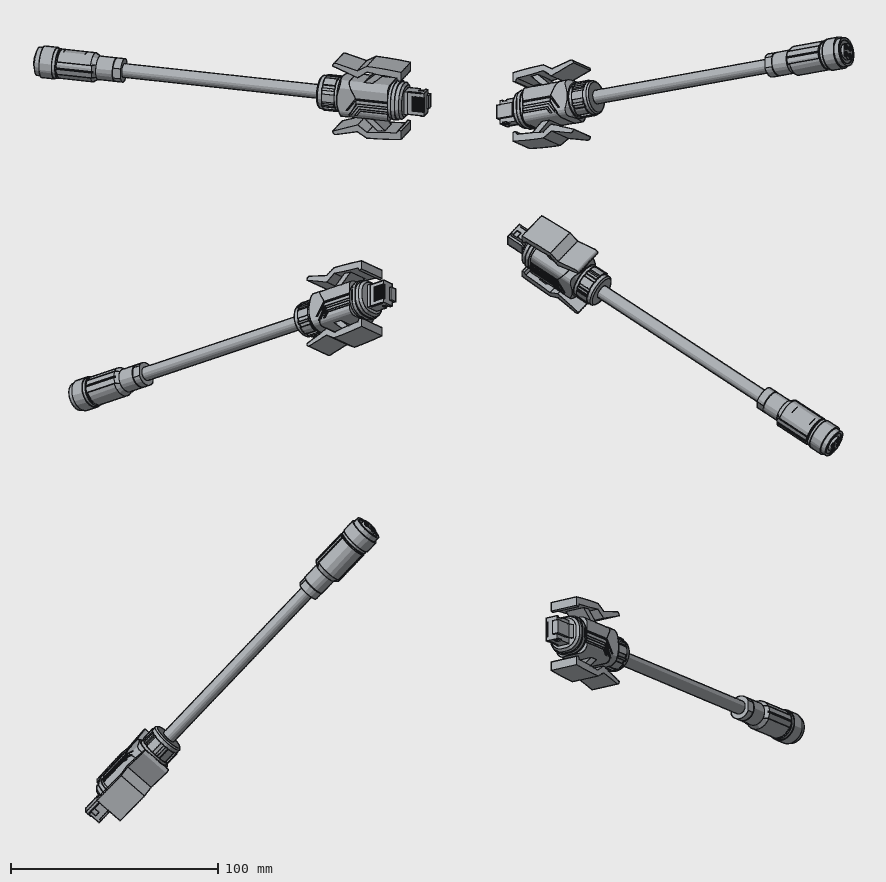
import cadquery as cq
import math


INSERT_RADIUS = 4.0
NUT_FACE_X = 1.2
NUT_BAND_X = 3.8
NUT_GROOVE_X = 10.1
NUT_END_X = 11.7
GRIP_X = 12.5
GRIP_TAPER_X = 29.5
NECK_X = 32.0
NECK_RING_X = 40.3
NECK_END_X = 44.5
NUT_NOSE_RADIUS = 7.0
NUT_RADIUS = 7.7
NUT_GROOVE_RADIUS = 7.3
NUT_FLAT_Y = 7.5
WAIST_RADIUS = 6.5
GRIP_RADIUS = 7.1
NECK_RADIUS = 5.8
NECK_GROOVE_WIDTH = 0.2
FACE_RECESS_RADIUS = 5.8
FACE_RECESS_DEPTH = 0.4
PIN_HOLE_RADIUS = 0.5
PIN_ENTRY_RADIUS = 1.2
PIN_ENTRY_DEPTH = 0.5
PIN_HOLE_OFFSET = 1.8
PIN_HOLE_DEPTH = 4.0
GRIP_RIB_RADIUS = 7.5
GRIP_RIB_TAPER_X = 30.4
GRIP_RIB_HALF_WIDTH = 3.2
GRIP_RIB_GROOVE_WIDTH = 0.5
GRIP_RIB_GROOVE_DEPTH = 0.5
LABEL_X = 14.5
LABEL_LENGTH = 11.0
LABEL_WIDTH = 4.2
NECK_FLAT_Y = 5.2

CABLE_RADIUS = 3.4
GLAND_X = 144.3
GLAND_CHAMFER = 0.8
GLAND_RIBS_X = 147.0
GLAND_RIBS_END_X = 153.5
GLAND_RADIUS = 8.1
GLAND_RIB_RADIUS = 8.7
GLAND_SLOT_FLOOR = 7.5
GLAND_SLOT_WIDTH = 1.8
GLAND_SLOT_ANGLES = (10, 50, 70)

HOUSING_X = 155.0
HOUSING_END_X = 180.8
HOUSING_SIZE = 18.5
HOUSING_CORNER = 4.0
HOUSING_STEP = 0.2
HOUSING_NOSE_RADIUS = 9.0
HOUSING_NOSE_LENGTH = 2.8
CHEVRON_TIP_X = 165.0
CHEVRON_EDGE_X = 160.5
CHEVRON_LAND_TOP = 1.5
COLLAR_END_X = 187.5
COLLAR_SIZE = 17.5
COLLAR_CHAMFER = 1.2
COLLAR_CORNER = 7.5
RING_X = 182.5
RING_WIDTH = 2.0
SIDE_GROOVE_DEPTH = 0.4
SIDE_GROOVES = ((1.3, 0.7, CHEVRON_TIP_X), (-1.49, 1.2, 166.1), (-4.0, 1.0, 167.1))
GROOVE_TAIL_RUN = 4.4
GROOVE_TAIL_DROP = 5.8

LEVER_TIP_LOW = (152.6, 16.7)
LEVER_TIP_NOSE = (153.0, 17.9)
LEVER_TIP_HIGH = (154.6, 18.3)
LEVER_DIP_TOP = (165.2, 15.7)
LEVER_CREST = (170.0, 18.5)
LEVER_BACK_MIDDLE = (178.6, 18.0)
LEVER_END_X = 187.4
LEVER_END_Z = 17.3
LEVER_LIP_Z = 13.0
LEVER_LIP_CORNER = (186.0, 12.5)
LEVER_LIP_ROOT = (185.0, 14.0)
LEVER_STRUT_SEAT = (176.7, 14.7)
LEVER_CREST_UNDERSIDE = (170.1, 15.5)
LEVER_DIP_UNDERSIDE = (165.4, 12.1)
LEVER_WIDTH = 15.3
STRUT_ROOT_X = 167.5
STRUT_TOP_X = 174.7
STRUT_TOP_Z = 15.0
STRUT_THICKNESS = 4.4
STRUT_WIDTH = 10.5

PLUG_END_X = 197.5
PLUG_HALF_DEPTH = 3.4
PLUG_HEIGHT = 11.7
PLUG_SHOULDER_X = 189.2
PLUG_STEP = 0.2
PLUG_STEP_Y = -2.2
PLUG_STEP_END_X = 196.1
CONTACT_COUNT = 8
CONTACT_PITCH = 1.0
CONTACT_SLOT_WIDTH = 0.5
CONTACT_X = 191.4
CONTACT_DEPTH = 1.2
NOTCH_X = 193.7
NOTCH_Y = 0.4
NOTCH_DEPTH = 0.5
LATCH_WIDTH = 6.7
LATCH_TIP_X = 198.5
LATCH_BEND_X = 189.8
LATCH_SEAT_X = 191.8
LATCH_ROOT_Y = 6.0
LATCH_BACK_Y = 4.8
LATCH_SEAT_Y = 3.0
LATCH_HOOK_Y = 1.4
LATCH_THICKNESS = 0.8
LATCH_ROOT_OVERLAP = 1.0


def box(x0, x1, y0, y1, z0, z1):
    return cq.Workplane("XY").box(x1 - x0, y1 - y0, z1 - z0, centered=False).translate((x0, y0, z0))


def revolved(stations):
    """Solid of revolution about X from (x, radius) stations."""
    outline = [(stations[0][0], 0)] + list(stations) + [(stations[-1][0], 0)]
    return cq.Workplane("XY").polyline(outline).close().revolve(360, (0, 0, 0), (1, 0, 0))


def rod(x0, x1, radius):
    return revolved([(x0, radius), (x1, radius)])


def rounded_square(x0, x1, size, corner):
    bar = cq.Workplane("YZ").rect(size, size).extrude(x1 - x0)
    return bar.edges("|X").fillet(corner).translate((x0, 0, 0))


def plate(points, width):
    """Outline in the XZ plane, extruded symmetrically about Y = 0."""
    return cq.Workplane("XZ").polyline(points).close().extrude(width / 2, both=True)


def with_mirror(solid, plane):
    return solid.union(solid.mirror(plane))


def grip_ribs():
    """Raised, centre-grooved rib on each Y side of the grip, tapering into the neck."""
    blank = revolved([
        (GRIP_X, GRIP_RIB_RADIUS),
        (GRIP_RIB_TAPER_X, GRIP_RIB_RADIUS),
        (NECK_X, NECK_RADIUS),
    ])
    reach = GRIP_RIB_RADIUS
    half = GRIP_RIB_HALF_WIDTH
    ribs = blank.intersect(box(GRIP_X, NECK_X, -reach, reach, -half, half))
    half_groove = GRIP_RIB_GROOVE_WIDTH / 2
    floor = GRIP_RIB_RADIUS - GRIP_RIB_GROOVE_DEPTH
    groove = box(GRIP_X, NECK_X, -reach, -floor, -half_groove, half_groove)
    return ribs.cut(with_mirror(groove, "XZ"))


def pin_holes(radius, depth):
    spacing = 2 * PIN_HOLE_OFFSET
    corners = cq.Workplane("YZ").rect(spacing, spacing, forConstruction=True).vertices()
    return corners.circle(radius).extrude(depth)


def round_connector():
    body = revolved([
        (0, INSERT_RADIUS),
        (NUT_FACE_X, INSERT_RADIUS),
        (NUT_FACE_X, NUT_NOSE_RADIUS),
        (NUT_BAND_X, NUT_NOSE_RADIUS),
        (NUT_BAND_X, NUT_RADIUS),
        (NUT_GROOVE_X, NUT_RADIUS),
        (NUT_GROOVE_X, NUT_GROOVE_RADIUS),
        (NUT_END_X, NUT_GROOVE_RADIUS),
        (NUT_END_X, WAIST_RADIUS),
        (GRIP_X, WAIST_RADIUS),
        (GRIP_X, GRIP_RADIUS),
        (GRIP_TAPER_X, GRIP_RADIUS),
        (NECK_X, NECK_RADIUS),
        (NECK_END_X, NECK_RADIUS),
    ])
    recess_end = NUT_FACE_X + FACE_RECESS_DEPTH
    ring = rod(NUT_FACE_X, recess_end, FACE_RECESS_RADIUS)
    body = body.cut(ring.cut(rod(NUT_FACE_X, recess_end, INSERT_RADIUS)))
    body = body.cut(pin_holes(PIN_HOLE_RADIUS, PIN_HOLE_DEPTH))
    body = body.cut(pin_holes(PIN_ENTRY_RADIUS, PIN_ENTRY_DEPTH))
    flat = box(NUT_BAND_X, NUT_GROOVE_X, -NUT_RADIUS, -NUT_FLAT_Y, -NUT_RADIUS, NUT_RADIUS)
    body = body.cut(with_mirror(flat, "XZ"))
    body = body.union(grip_ribs())
    label_z = math.sqrt(GRIP_RADIUS ** 2 - (LABEL_WIDTH / 2) ** 2)
    label_end = LABEL_X + LABEL_LENGTH
    body = body.cut(box(LABEL_X, label_end, -LABEL_WIDTH / 2, LABEL_WIDTH / 2, label_z, GRIP_RADIUS))
    cutter = rod(NECK_RING_X, NECK_RING_X + NECK_GROOVE_WIDTH, NECK_RADIUS)
    cutter = cutter.cut(rod(NECK_RING_X, NECK_END_X, NECK_RADIUS - NECK_GROOVE_WIDTH))
    flat = box(NECK_RING_X, NECK_END_X, -NECK_RADIUS, -NECK_FLAT_Y, -NECK_RADIUS, NECK_RADIUS)
    return body.cut(cutter).cut(with_mirror(flat, "XZ"))


def gland_nut():
    body = revolved([
        (GLAND_X, GLAND_RADIUS - GLAND_CHAMFER),
        (GLAND_X + GLAND_CHAMFER, GLAND_RADIUS),
        (GLAND_RIBS_X, GLAND_RADIUS),
        (GLAND_RIBS_X, GLAND_RIB_RADIUS),
        (GLAND_RIBS_END_X, GLAND_RIB_RADIUS),
        (GLAND_RIBS_END_X, GLAND_RADIUS),
        (HOUSING_X, GLAND_RADIUS),
    ])
    half = GLAND_SLOT_WIDTH / 2
    slot = box(GLAND_RIBS_X, GLAND_RIBS_END_X, -half, half, GLAND_SLOT_FLOOR, GLAND_RIB_RADIUS)
    for angle in GLAND_SLOT_ANGLES:
        for turn in (angle, -angle, 180 - angle, 180 + angle):
            body = body.cut(slot.rotate((0, 0, 0), (1, 0, 0), turn))
    return body.intersect(box(GLAND_X, HOUSING_X, -GLAND_RADIUS, GLAND_RADIUS, -HOUSING_SIZE, HOUSING_SIZE))


def side_groove(height, width, bend_x):
    """Groove in the -Y face: straight towards the collar, with a tail sloping down from its bend."""
    low = height - width / 2
    high = height + width / 2
    tail_x = bend_x - GROOVE_TAIL_RUN
    outline = [
        (HOUSING_END_X, low),
        (bend_x, low),
        (tail_x, low - GROOVE_TAIL_DROP),
        (tail_x - width, low - GROOVE_TAIL_DROP),
        (bend_x - width / 2, high),
        (HOUSING_END_X, high),
    ]
    face_y = HOUSING_SIZE / 2
    groove = cq.Workplane("XZ").polyline(outline).close().extrude(SIDE_GROOVE_DEPTH)
    return groove.translate((0, SIDE_GROOVE_DEPTH + HOUSING_STEP / 2 - face_y, 0))


def housing():
    half = HOUSING_SIZE / 2
    front = rounded_square(HOUSING_X, CHEVRON_TIP_X, HOUSING_SIZE, HOUSING_CORNER)
    chevron = [
        (HOUSING_X, half),
        (CHEVRON_EDGE_X, half),
        (CHEVRON_TIP_X, CHEVRON_LAND_TOP),
        (CHEVRON_TIP_X, -CHEVRON_LAND_TOP / 2),
        (CHEVRON_EDGE_X, -half),
        (HOUSING_X, -half),
    ]
    front = front.intersect(plate(chevron, HOUSING_SIZE))
    rear = rounded_square(HOUSING_X, HOUSING_END_X, HOUSING_SIZE - HOUSING_STEP, HOUSING_CORNER)
    nose_end = half * math.sqrt(2)
    cone = revolved([
        (HOUSING_X, HOUSING_NOSE_RADIUS),
        (HOUSING_X + HOUSING_NOSE_LENGTH, nose_end),
        (HOUSING_END_X, nose_end),
    ])
    body = front.union(rear).intersect(cone)
    for height, width, bend_x in SIDE_GROOVES:
        body = body.cut(with_mirror(side_groove(height, width, bend_x), "XZ"))
    collar = rounded_square(HOUSING_END_X, COLLAR_END_X, COLLAR_SIZE, COLLAR_CORNER)
    collar = collar.faces(">X").chamfer(COLLAR_CHAMFER)
    ring = rounded_square(RING_X, RING_X + RING_WIDTH, HOUSING_SIZE, COLLAR_CORNER)
    return body.union(collar).union(ring)


def lever():
    """Upper lever with its slanted strut."""
    arm = (
        cq.Workplane("XZ")
        .moveTo(*LEVER_TIP_LOW)
        .threePointArc(LEVER_TIP_NOSE, LEVER_TIP_HIGH)
        .lineTo(*LEVER_DIP_TOP)
        .lineTo(*LEVER_CREST)
        .threePointArc(LEVER_BACK_MIDDLE, (LEVER_END_X, LEVER_END_Z))
        .lineTo(LEVER_END_X, LEVER_LIP_Z)
        .lineTo(*LEVER_LIP_CORNER)
        .lineTo(*LEVER_LIP_ROOT)
        .lineTo(*LEVER_STRUT_SEAT)
        .lineTo(*LEVER_CREST_UNDERSIDE)
        .lineTo(*LEVER_DIP_UNDERSIDE)
        .close()
        .extrude(LEVER_WIDTH / 2, both=True)
    )
    root_z = HOUSING_SIZE / 2 - 2 * HOUSING_STEP
    outline = [
        (STRUT_ROOT_X, root_z),
        (STRUT_ROOT_X + STRUT_THICKNESS, root_z),
        (STRUT_TOP_X + STRUT_THICKNESS, STRUT_TOP_Z),
        (STRUT_TOP_X, STRUT_TOP_Z),
    ]
    strut = plate(outline, STRUT_WIDTH)
    return arm.union(strut)


def contact_slots():
    slots = cq.Workplane("XY")
    half = CONTACT_SLOT_WIDTH / 2
    floor = CONTACT_DEPTH - PLUG_HALF_DEPTH
    for index in range(CONTACT_COUNT):
        z = (index - (CONTACT_COUNT - 1) / 2) * CONTACT_PITCH
        slots = slots.union(box(CONTACT_X, PLUG_END_X, -PLUG_HALF_DEPTH, floor, z - half, z + half))
    return slots


def plug_latch():
    """Release latch on the +Y face, hooked over the end of the plug."""
    root_x = COLLAR_END_X - LATCH_ROOT_OVERLAP
    outline = [
        (root_x, LATCH_ROOT_Y),
        (COLLAR_END_X, LATCH_ROOT_Y),
        (LATCH_BEND_X, LATCH_BACK_Y),
        (LATCH_TIP_X, LATCH_BACK_Y),
        (LATCH_TIP_X, LATCH_HOOK_Y),
        (PLUG_END_X, LATCH_HOOK_Y),
        (PLUG_END_X, LATCH_SEAT_Y),
        (LATCH_SEAT_X, LATCH_SEAT_Y),
        (LATCH_BEND_X, LATCH_BACK_Y - LATCH_THICKNESS),
        (root_x, LATCH_ROOT_Y - LATCH_THICKNESS),
    ]
    return cq.Workplane("XY").polyline(outline).close().extrude(LATCH_WIDTH / 2, both=True)


def rj45_plug():
    half = PLUG_HEIGHT / 2
    body = box(COLLAR_END_X, PLUG_END_X, -PLUG_HALF_DEPTH, PLUG_HALF_DEPTH, -half, half)
    body = body.cut(contact_slots())
    step_y = PLUG_STEP - PLUG_HALF_DEPTH
    body = body.cut(box(PLUG_SHOULDER_X, PLUG_END_X, -PLUG_HALF_DEPTH, step_y, -half, half))
    floor = half - PLUG_STEP
    strip = box(PLUG_SHOULDER_X, PLUG_STEP_END_X, -PLUG_HALF_DEPTH, PLUG_STEP_Y, floor, half)
    notch = box(NOTCH_X, PLUG_STEP_END_X, NOTCH_Y, PLUG_HALF_DEPTH, half - NOTCH_DEPTH, half)
    body = body.cut(with_mirror(strip, "XY")).cut(with_mirror(notch, "XY"))
    return body.union(plug_latch())


cable = rod(NECK_END_X, GLAND_X, CABLE_RADIUS)
result = round_connector().union(cable).union(gland_nut()).union(housing())
result = result.union(with_mirror(lever(), "XY")).union(rj45_plug())